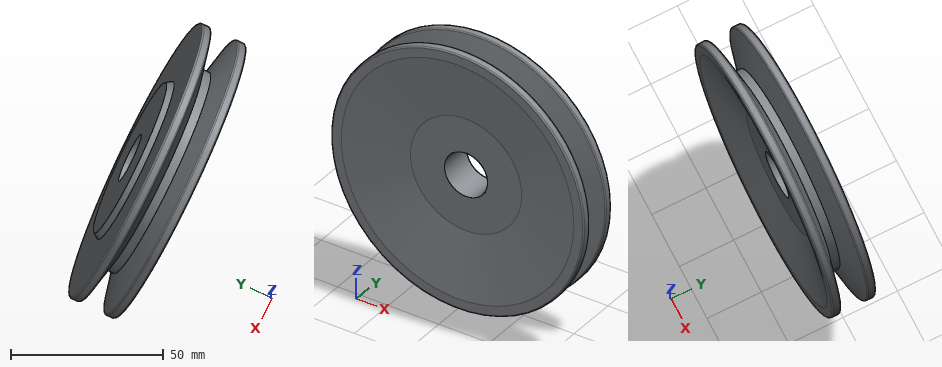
import cadquery as cq

rim_radius = 50.0
rim_width = 16.0
rim_edge_fillet = 0.5
radius_tolerance = 0.001

groove_floor_radius = 36.6
groove_floor_width = 3.1
groove_mouth_width = 9.9

dish_outer_radius = 46.0
dish_floor_radius = 22.0
dish_depth = 5.0

boss_base_radius = 28.7
boss_face_radius = 27.3
boss_height = 2.0

bore_radius = 8.5

overall_width = rim_width + boss_height
groove_center = rim_width / 2


def pulley_body():
    """Revolve the half section: front dish, rim with V groove, tapered rear boss and bore."""
    floor_half = groove_floor_width / 2
    mouth_half = groove_mouth_width / 2
    section = [
        (bore_radius, dish_depth),
        (dish_floor_radius, dish_depth),
        (dish_outer_radius, 0),
        (rim_radius, 0),
        (rim_radius, groove_center - mouth_half),
        (groove_floor_radius, groove_center - floor_half),
        (groove_floor_radius, groove_center + floor_half),
        (rim_radius, groove_center + mouth_half),
        (rim_radius, rim_width),
        (boss_base_radius, rim_width),
        (boss_face_radius, overall_width),
        (bore_radius, overall_width),
    ]
    axis_start = (0, 0, 0)
    axis_end = (0, 1, 0)
    return cq.Workplane("XY").polyline(section).close().revolve(360, axis_start, axis_end)


def round_rim_edges(body):
    """Fillet both corners of each rim flange at the full outside radius."""
    rim_edges = body.edges("%CIRCLE").filter(
        lambda edge: abs(edge.radius() - rim_radius) < radius_tolerance
    )
    return body.newObject(rim_edges.vals()).fillet(rim_edge_fillet)


result = round_rim_edges(pulley_body())